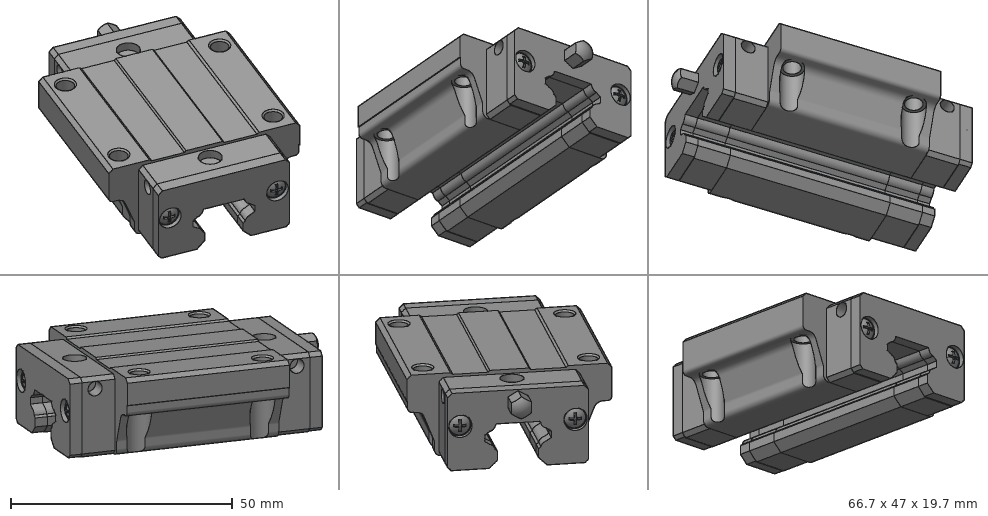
import cadquery as cq
import math


block_length = 39.4
block_width = 47.0
block_height = 19.7
block_half_width = block_width / 2
edge_chamfer = 1.0
flange_underside_z = 10.75
flange_foot_radius = 1.0
datum_step_z = 13.4
datum_step = 0.2
flank_half_width = 17.15
flank_bottom_z = 3.5
flank_top_half_width = 20.0
neck_radius = 2.2
knee_radius = 1.5
foot_radius = 1.5

groove_depth = 0.4
groove_inner_y = 4.5
groove_outer_y = 13.5
groove_inner_slope = 0.4
groove_outer_slope = 0.55

hole_spacing_x = 30.0
hole_spacing_y = 38.0
hole_diameter = 4.2
hole_mouth_diameter = 5.0
relief_diameter = 5.7

opening_mouth_half = 6.85
opening_throat_half = 4.7
opening_waist_half = 7.6
opening_top_half = 5.0
throat_bottom_z = 2.1
throat_top_z = 4.2
bead_bottom_half = 5.25
bead_top_half = bead_bottom_half
bead_bottom_z = 4.7
bead_edge_half = 6.5
lower_bead_edge_z = 6.0
waist_bottom_z = 6.7
waist_top_z = 8.2
upper_bead_edge_z = 9.05
bead_top_z = 10.15
bead_radius = 1.8

end_width = 32.3
end_top_z = block_height - 1.0
cap_thickness = 8.0
seal_thickness = 3.0
seal_bottom_z = 0.2
end_corner = 1.0
top_port_diameter = 5.4
top_port_depth = 2.0
top_port_x = 23.0
side_port_diameter = 3.4
side_port_depth = 4.0
side_port_x = 24.55
side_port_z = 16.0

screw_y = 13.2
screw_z = 10.7
screw_recess_diameter = 5.3
screw_recess_depth = 1.2
screw_head_diameter = 4.9
screw_dome_height = 1.0
screw_slot_length = 2.8
screw_slot_width = 0.55
screw_slot_depth = 0.7

nipple_flats = 4.6
nipple_length = 5.3
nipple_z = 15.75
nipple_dome_radius = 3.55

cap_x = block_length / 2
seal_x = cap_x + cap_thickness
end_x = seal_x + seal_thickness


def along_rail(start_x):
    """Workplane across the rail: local x is Y, local y is Z, extruding toward +X."""
    return cq.Workplane("YZ", origin=(start_x, 0, 0))


def rail_opening(start_x, length):
    """Solid of the rail opening, to be cut from whatever rides on the rail."""
    half = (
        along_rail(start_x)
        .lineTo(opening_mouth_half, 0)
        .lineTo(opening_throat_half, throat_bottom_z)
        .lineTo(opening_throat_half, throat_top_z)
        .lineTo(bead_bottom_half, bead_bottom_z)
        .radiusArc((bead_edge_half, lower_bead_edge_z), bead_radius)
        .lineTo(opening_waist_half, waist_bottom_z)
        .lineTo(opening_waist_half, waist_top_z)
        .lineTo(bead_edge_half, upper_bead_edge_z)
        .radiusArc((bead_top_half, bead_top_z), bead_radius)
        .lineTo(opening_top_half, flange_underside_z)
        .lineTo(0, flange_underside_z)
        .close()
        .extrude(length)
    )
    return half.union(half.mirror("XZ"))


def long_edge(body, y, z):
    """The edge of the block that runs along X at the given Y and Z."""
    return body.edges(cq.selectors.NearestToPointSelector((0, y, z)))


def make_block():
    """Flanged block: outline, rounded edges, top grooves, rail opening and mounting holes."""
    h = block_half_width
    body = (
        along_rail(-block_length / 2)
        .moveTo(-h, flange_underside_z)
        .lineTo(-h, block_height)
        .lineTo(h, block_height)
        .lineTo(h, datum_step_z)
        .lineTo(h - datum_step, datum_step_z)
        .lineTo(h - datum_step, flange_underside_z)
        .lineTo(flank_top_half_width, flange_underside_z)
        .lineTo(flank_half_width, flank_bottom_z)
        .lineTo(flank_half_width, 0)
        .lineTo(-flank_half_width, 0)
        .lineTo(-flank_half_width, flank_bottom_z)
        .lineTo(-flank_top_half_width, flange_underside_z)
        .close()
        .extrude(block_length)
    )

    for side in (-1, 1):
        flange_y = h - datum_step if side > 0 else h
        body = long_edge(body, side * h, block_height).chamfer(edge_chamfer)
        body = long_edge(body, side * flange_y, flange_underside_z).fillet(flange_foot_radius)
        body = long_edge(body, side * flank_top_half_width, flange_underside_z).fillet(neck_radius)
        body = long_edge(body, side * flank_half_width, flank_bottom_z).fillet(knee_radius)
        body = long_edge(body, side * flank_half_width, 0).fillet(foot_radius)

    for side in (-1, 1):
        groove = along_rail(-block_length / 2).polyline([
            (side * groove_inner_y, block_height),
            (side * (groove_inner_y + groove_inner_slope), block_height - groove_depth),
            (side * (groove_outer_y - groove_outer_slope), block_height - groove_depth),
            (side * groove_outer_y, block_height),
        ]).close().extrude(block_length)
        body = body.cut(groove)

    body = body.cut(rail_opening(-block_length / 2, block_length))

    holes = cq.Workplane("XY").rarray(hole_spacing_x, hole_spacing_y, 2, 2)
    body = body.cut(holes.circle(hole_diameter / 2).extrude(block_height))
    body = body.cut(holes.circle(relief_diameter / 2).extrude(flange_underside_z))
    mouth_depth = (hole_mouth_diameter - hole_diameter) / 2
    rims = cq.Workplane("XY", origin=(0, 0, block_height))
    rims = rims.rarray(hole_spacing_x, hole_spacing_y, 2, 2)
    return body.cut(rims.circle(hole_mouth_diameter / 2).extrude(-mouth_depth, taper=45))


def end_plate(start_x, thickness):
    """Chamfered plate with the rail opening, the common shape of caps and seals."""
    plate = (
        along_rail(start_x)
        .center(0, end_top_z / 2)
        .rect(end_width, end_top_z)
        .extrude(thickness)
        .edges("|X")
        .chamfer(end_corner)
    )
    return plate.cut(rail_opening(start_x, thickness))


def make_cap():
    """End cap on the +X end, with a round port in its top and in each side."""
    cap = end_plate(cap_x, cap_thickness)
    top_port = cq.Workplane("XY", origin=(top_port_x, 0, end_top_z)).circle(top_port_diameter / 2)
    cap = cap.cut(top_port.extrude(-top_port_depth))
    for side in (-1, 1):
        side_port = cq.Workplane("XZ", origin=(side_port_x, side * end_width / 2, side_port_z))
        cap = cap.cut(side_port.circle(side_port_diameter / 2).extrude(side * side_port_depth))
    return cap


def make_seal():
    """Seal plate on the +X end, with two round recesses for the screw heads."""
    seal = end_plate(seal_x, seal_thickness)
    seal = seal.cut(along_rail(seal_x).rect(end_width, 2 * seal_bottom_z).extrude(seal_thickness))
    recesses = along_rail(end_x).pushPoints([(-screw_y, screw_z), (screw_y, screw_z)])
    return seal.cut(recesses.circle(screw_recess_diameter / 2).extrude(-screw_recess_depth))


def make_screw(y):
    """Domed screw head with a cross slot, standing on the floor of its recess."""
    floor_x = end_x - screw_recess_depth
    radius = screw_head_diameter / 2
    dome_radius = (radius**2 + screw_dome_height**2) / (2 * screw_dome_height)
    head = (
        cq.Workplane("XY", origin=(floor_x, 0, 0))
        .lineTo(screw_dome_height, 0)
        .radiusArc((0, radius), -dome_radius)
        .close()
        .revolve(360, (0, 0, 0), (1, 0, 0))
    )
    slots = along_rail(floor_x + screw_dome_height)
    for size in ((screw_slot_length, screw_slot_width), (screw_slot_width, screw_slot_length)):
        head = head.cut(slots.rect(*size).extrude(-screw_slot_depth))
    return head.translate((0, y, screw_z))


def make_nipple():
    """Hexagonal grease nipple on the -X seal, with a spherical nose."""
    tip_x = -end_x - nipple_length
    corner_diameter = nipple_flats / math.cos(math.pi / 6)
    hexagon = along_rail(tip_x).polygon(6, corner_diameter).extrude(nipple_length)
    hexagon = hexagon.rotate((0, 0, 0), (1, 0, 0), 90)
    nose = cq.Workplane("XY").sphere(nipple_dome_radius).translate((tip_x + nipple_dome_radius, 0, 0))
    shank = along_rail(tip_x + nipple_dome_radius).circle(corner_diameter).extrude(nipple_length)
    return hexagon.intersect(nose.union(shank)).translate((0, 0, nipple_z))


bodies = [make_block().val(), make_nipple().val()]
screws = [make_screw(side * screw_y) for side in (-1, 1)]
end_parts = [make_cap(), make_seal(), *screws]
for part in end_parts:
    bodies.append(part.val())
    bodies.append(part.mirror("YZ").val())

result = cq.Compound.makeCompound(bodies)